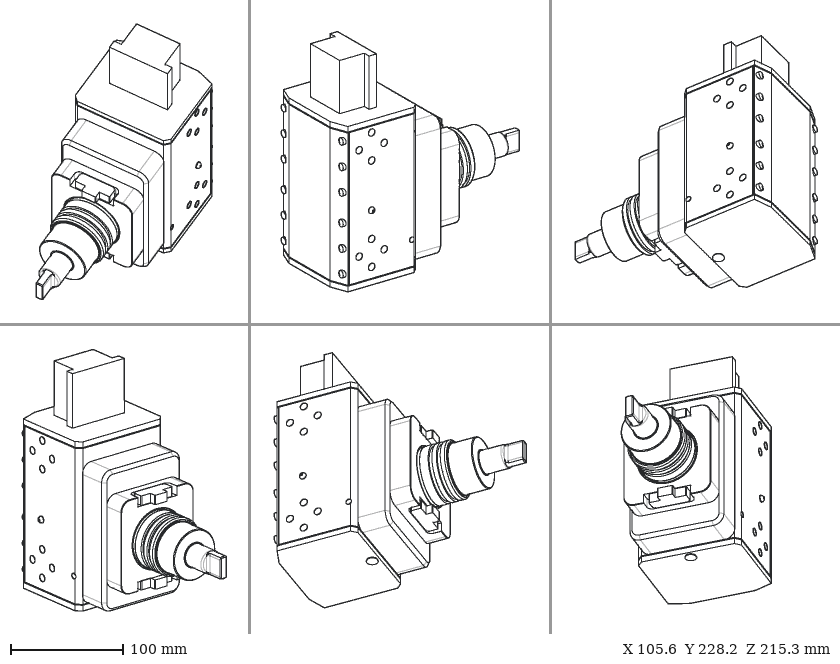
import cadquery as cq


housing_width = 99.0
housing_front = 50.7
housing_back = 134.95
housing_top = 88.5
housing_bottom = -73.5
front_bevel = 5.0
back_bevel_across = 18.0
back_bevel_deep = 6.6

end_plate_thickness = 5.6
seam_width = 0.8
seam_depth = 0.3
cover_seam_y = 126.7

tower_top = 140.6
tower_width = 60.0
tower_stem_width = 45.0
tower_front = 82.9
tower_step = 91.0
tower_back = 118.0

cover_width = 90.0
cover_height = 135.0
cover_front = 20.4
cover_bevel = 3.3
flange_width = 83.5
flange_height = 90.0
corner_radius = 10.0

slot_width = 45.0
slot_depth = 12.7
slot_height = 9.0
slot_corner_radius = 5.0
key_width = 36.0
key_corner = 2.0
key_front_chamfer = 0.7
key_back_gap = 0.5
key_shoulder_y = 1.0
key_tongue_width = 14.6
key_tongue_tip = -5.6

clearance_diameter = 57.0
clearance_depth = 1.0
clearance_chamfer = 0.5

neck_diameter = 54.6
neck_length = 2.0
collar_diameter = 55.0
groove_diameter = 50.8
groove_spans = [(10.5, 14.2), (18.6, 22.4)]
collar_length = 27.9
collar_chamfer = 1.5
nose_root_diameter = 49.6
nose_start = 28.6
nose_diameter = 48.0
nose_end = 52.2
nose_chamfer = 0.8
shoulder_diameter = 24.0
shoulder_end = 52.9
shaft_diameter = 22.0
shaft_end = 76.0
shaft_end_radius = 1.6
tang_start = shaft_end - shaft_end_radius
tang_end = 93.25
tang_thickness = 7.5
tang_diameter = 21.5
tang_root_radius = 2.3
tang_flat_height = 16.0
tang_edge_thickness = 6.3
tang_tip_chamfer = 0.9

screw_diameter = 7.0
screw_x = 44.3
screw_head_y = 132.1
screw_pitch = 25.0
screw_group_centres = (48.0, -32.0)

nipple_y = 102.6
nipple_reach = 3.3
nipple_diameter = 6.37
nipple_land = 0.6
nipple_shoulder_radius = 2.55
nipple_shoulder_reach = 2.0
nipple_tip_diameter = 2.1
nipple_bore_diameter = 1.7
nipple_bore_depth = 0.5

recess_depth = 0.5
recess_diameter = 7.0
recess_count = 4
recess_circle_radius = 13.7
recess_circle_y = 102.0
recess_circle_zs = (62.0, -42.2)
locating_recess_diameter = 5.3
locating_recess_y = 57.7
locating_recess_z = -40.8

foot_y = 57.7
foot_diameter = 10.8
foot_top_diameter = 9.6
foot_bottom = -74.73

half_width = housing_width / 2


def housing_outline():
    """Plan outline of the housing, seen along Z."""
    back_half = half_width - back_bevel_across
    front_half = half_width - front_bevel
    right_side = [
        (front_half, housing_front),
        (half_width, housing_front + front_bevel),
        (half_width, housing_back - back_bevel_deep),
        (back_half, housing_back),
    ]
    left_side = [(-x, y) for x, y in reversed(right_side)]
    return cq.Workplane("XY").polyline(right_side + left_side).close()


def seam_ring(bottom):
    """Thin ring that cuts a shallow groove all round the housing."""
    outer = housing_outline().extrude(seam_width)
    inner = housing_outline().offset2D(-seam_depth).extrude(seam_width)
    return outer.cut(inner).translate((0, 0, bottom))


def make_housing():
    housing = housing_outline().extrude(housing_top - housing_bottom).translate((0, 0, housing_bottom))
    lower_seam = housing_bottom + end_plate_thickness
    upper_seam = housing_top - end_plate_thickness - seam_width
    housing = housing.cut(seam_ring(lower_seam)).cut(seam_ring(upper_seam))
    seam_middle = (upper_seam + seam_width + lower_seam) / 2
    seam_height = upper_seam + seam_width - lower_seam
    for side in (-1, 1):
        cover_seam = cq.Workplane("XY").box(2 * seam_depth, seam_width, seam_height)
        housing = housing.cut(cover_seam.translate((side * half_width, cover_seam_y, seam_middle)))
    return housing


def make_tower():
    plate = cq.Workplane("XY").box(
        tower_width, tower_step - tower_front, tower_top - housing_top, centered=(True, False, False)
    )
    stem = cq.Workplane("XY").box(
        tower_stem_width, tower_back - tower_front, tower_top - housing_top, centered=(True, False, False)
    )
    return plate.union(stem).translate((0, tower_front, housing_top))


def rounded_block(width, height, front, back):
    """Block centred on the spindle axis with rounded edges along Y."""
    block = cq.Workplane("XY").box(width, back - front, height)
    return block.edges("|Y").fillet(corner_radius).translate((0, (front + back) / 2, 0))


def make_key():
    """Key for the top slot: a wide block with a tongue that stands out of the flange."""
    key_back = slot_depth - key_back_gap
    base = cq.Workplane("XY").box(
        key_width, key_back - key_shoulder_y, slot_height, centered=(True, False, False)
    )
    base = base.edges("|Z and >Y").chamfer(key_corner)
    base = base.edges("|Z and <Y").chamfer(key_front_chamfer).translate((0, key_shoulder_y, 0))
    tongue = cq.Workplane("XY").box(
        key_tongue_width, key_back - key_tongue_tip, slot_height, centered=(True, False, False)
    )
    tongue = tongue.edges("|Z and <Y").chamfer(key_front_chamfer).translate((0, key_tongue_tip, 0))
    return base.union(tongue).translate((0, 0, flange_height / 2 - slot_height))


def make_flange():
    flange = rounded_block(flange_width, flange_height, 0, cover_front)
    slot = cq.Workplane("XY").box(
        slot_width, 2 * slot_depth, slot_height, centered=(True, True, False)
    )
    slot = slot.edges("|Z").fillet(slot_corner_radius)
    slot = slot.translate((0, 0, flange_height / 2 - slot_height))
    bore = cq.Workplane("XZ").circle(clearance_diameter / 2).extrude(-clearance_depth)
    flange = flange.cut(bore)
    flange = flange.faces("<Y").edges("%CIRCLE").chamfer(clearance_chamfer)
    key = make_key()
    for turn in (0, 180):
        flange = flange.cut(slot.rotate((0, 0, 0), (0, 1, 0), turn))
        flange = flange.union(key.rotate((0, 0, 0), (0, 1, 0), turn))
    return flange


def make_front_cover():
    cover = rounded_block(cover_width, cover_height, cover_front, housing_front)
    return cover.faces("<Y").chamfer(cover_bevel)


def spindle_cylinder(diameter, start, end):
    """Round section of the spindle between two distances from the seat face."""
    section = cq.Workplane("XZ").circle(diameter / 2).extrude(end - start)
    return section.translate((0, -start, 0))


def make_spindle():
    spindle = spindle_cylinder(neck_diameter, -clearance_depth, neck_length)
    collar = spindle_cylinder(collar_diameter, neck_length, collar_length)
    spindle = spindle.union(collar.faces("<Y").chamfer(collar_chamfer))
    for start, end in groove_spans:
        blank = spindle_cylinder(collar_diameter, start, end)
        spindle = spindle.cut(blank.cut(spindle_cylinder(groove_diameter, start, end)))
    spindle = spindle.union(spindle_cylinder(nose_root_diameter, collar_length, nose_start))
    nose = spindle_cylinder(nose_diameter, nose_start, nose_end)
    spindle = spindle.union(nose.faces("<Y").chamfer(nose_chamfer))
    spindle = spindle.union(spindle_cylinder(shoulder_diameter, nose_end, shoulder_end))
    shaft = spindle_cylinder(shaft_diameter, shoulder_end, shaft_end)
    spindle = spindle.union(shaft.faces("<Y").edges().fillet(shaft_end_radius))
    return spindle.union(make_tang())


def make_tang():
    """Flat drive tang with rounded roots and thinned long edges."""
    half = tang_thickness / 2
    root = half + tang_root_radius
    tip = half - tang_tip_chamfer
    plan = (
        cq.Workplane("XY")
        .moveTo(half, -tang_start)
        .lineTo(half, -shaft_end)
        .lineTo(root, -shaft_end)
        .radiusArc((half, -shaft_end - tang_root_radius), -tang_root_radius)
        .lineTo(half, -tang_end + tang_tip_chamfer)
        .lineTo(tip, -tang_end)
        .lineTo(-tip, -tang_end)
        .lineTo(-half, -tang_end + tang_tip_chamfer)
        .lineTo(-half, -shaft_end - tang_root_radius)
        .radiusArc((-root, -shaft_end), -tang_root_radius)
        .lineTo(-half, -shaft_end)
        .lineTo(-half, -tang_start)
        .close()
        .extrude(tang_diameter / 2, both=True)
    )
    round_bar = spindle_cylinder(tang_diameter, tang_start, tang_end)
    tang = plan.intersect(round_bar.faces("<Y").chamfer(tang_tip_chamfer))
    edge_wedge = (
        cq.Workplane("XZ")
        .moveTo(half, tang_flat_height / 2)
        .lineTo(tang_edge_thickness / 2, tang_diameter / 2)
        .lineTo(half, tang_diameter / 2)
        .close()
        .extrude(tang_end - shaft_end - tang_root_radius)
        .translate((0, -shaft_end - tang_root_radius, 0))
    )
    wedges = edge_wedge.union(edge_wedge.mirror("YZ"))
    return tang.cut(wedges).cut(wedges.mirror("XY"))


def make_screws():
    screws = cq.Workplane("XY")
    for side in (-1, 1):
        for centre in screw_group_centres:
            for step in (-1, 0, 1):
                head = cq.Workplane("XZ").circle(screw_diameter / 2).extrude(back_bevel_deep)
                place = (side * screw_x, screw_head_y, centre + step * screw_pitch)
                screws = screws.union(head.translate(place))
    return screws


def make_nipple():
    """Domed grease nipple standing on the +X side."""
    profile = (
        cq.Workplane("XY")
        .lineTo(nipple_diameter / 2, 0)
        .lineTo(nipple_diameter / 2, nipple_land)
        .threePointArc(
            (nipple_shoulder_radius, nipple_shoulder_reach),
            (nipple_tip_diameter / 2, nipple_reach),
        )
        .lineTo(nipple_bore_diameter / 2, nipple_reach)
        .lineTo(nipple_bore_diameter / 2, nipple_reach - nipple_bore_depth)
        .lineTo(0, nipple_reach - nipple_bore_depth)
        .close()
    )
    nipple = profile.revolve(360, (0, 0, 0), (0, 1, 0)).rotate((0, 0, 0), (0, 0, 1), -90)
    return nipple.translate((half_width, nipple_y, 0))


def make_side_recesses():
    """Shallow recesses for the +X side."""
    face = cq.Workplane("YZ").workplane(offset=half_width - recess_depth)
    recesses = face.center(locating_recess_y, locating_recess_z)
    recesses = recesses.circle(locating_recess_diameter / 2).extrude(recess_depth)
    for centre_z in recess_circle_zs:
        ring = face.center(recess_circle_y, centre_z).polarArray(recess_circle_radius, 0, 360, recess_count)
        recesses = recesses.union(ring.circle(recess_diameter / 2).extrude(recess_depth))
    return recesses


def make_foot():
    height = housing_bottom - foot_bottom
    foot = cq.Workplane("XY").workplane(offset=foot_bottom).center(0, foot_y)
    foot = foot.circle(foot_diameter / 2).workplane(offset=height).circle(foot_top_diameter / 2)
    return foot.loft(ruled=True)


result = make_housing()
recesses = make_side_recesses()
result = result.cut(recesses).cut(recesses.mirror("YZ"))
result = result.union(make_tower()).union(make_front_cover()).union(make_flange())
result = result.union(make_spindle()).union(make_screws())
nipple = make_nipple()
result = result.union(nipple).union(nipple.mirror("YZ")).union(make_foot())